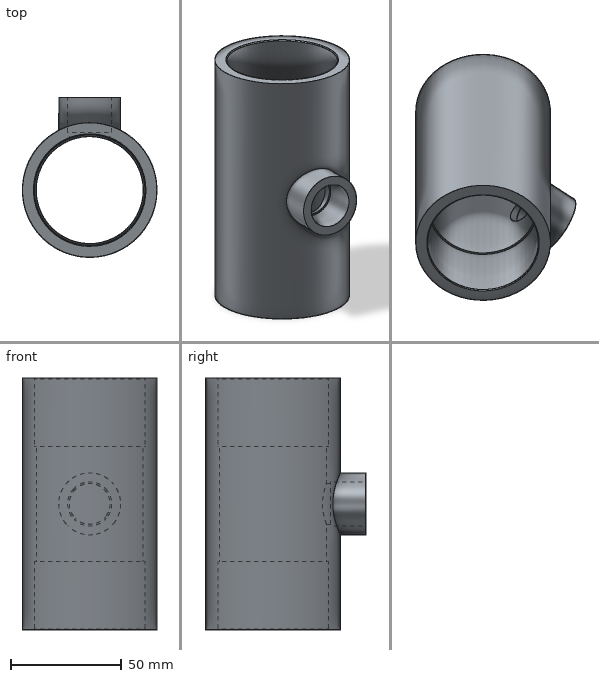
import cadquery as cq

length = 114.0
outer_diameter = 61.0
socket_diameter = 50.0
bore_diameter = 48.5
socket_depth = 31.0
mouth_chamfer = 0.5

branch_diameter = 28.0
overall_depth = 72.5
branch_reach = overall_depth - outer_diameter / 2
branch_socket_diameter = 20.0
branch_bore_diameter = 18.5
branch_socket_depth = 16.0


def cylinder_z(diameter, z_start, height):
    """Cylinder on the main axis, rising from z_start."""
    return cq.Workplane("XY").workplane(offset=z_start).circle(diameter / 2).extrude(height)


def cylinder_y(diameter, y_start, y_end):
    """Cylinder on the branch axis between two Y positions."""
    return cq.Workplane("XZ").workplane(offset=-y_start).circle(diameter / 2).extrude(y_start - y_end)


body = cylinder_z(outer_diameter, -length / 2, length)
body = body.union(cylinder_y(branch_diameter, 0, branch_reach))

body = body.cut(cylinder_z(bore_diameter, -length / 2, length))
for socket_start in (-length / 2, length / 2 - socket_depth):
    body = body.cut(cylinder_z(socket_diameter, socket_start, socket_depth))

body = body.faces("<Z or >Z").edges(cq.selectors.RadiusNthSelector(0)).chamfer(mouth_chamfer)

body = body.cut(cylinder_y(branch_bore_diameter, 0, branch_reach))
body = body.cut(cylinder_y(branch_socket_diameter, branch_reach - branch_socket_depth, branch_reach))

result = body